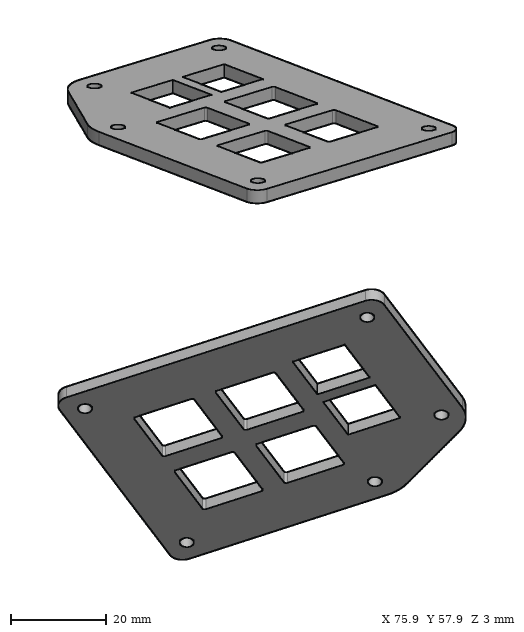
import cadquery as cq
import math

length = 75.94
width = 57.92
thickness = 3.0
corner_radius = 3.0

slope_angle = math.radians(30.4)
slope_run = 23.67
slope_rise = slope_run * math.tan(slope_angle)
slope_side_radius = 7.7
slope_bottom_radius = 10.0

hole_diameter = 2.98
hole_span_x = 66.0
hole_span_y = 48.0
side_hole_drop = 35.0
bottom_hole_shift = 22.0

key_size = 14.0
key_pitch = 19.05
key_corner_radius = 0.5
key_grid_center = (8.7, 0.33)

small_length = 12.2
small_width = 11.7
small_pitch = 14.45
small_column_center = (-18.75, 5.1)


def make_plate():
    left = -length / 2
    right = length / 2
    bottom = -width / 2
    top = width / 2
    corners = [
        ((left, bottom + slope_rise), slope_side_radius),
        ((left + slope_run, bottom), slope_bottom_radius),
        ((right, bottom), corner_radius),
        ((right, top), corner_radius),
        ((left, top), corner_radius),
    ]
    outline = [point for point, radius in corners]
    plate = cq.Workplane("XY").polyline(outline).close().extrude(thickness)
    for (x, y), radius in corners:
        corner_edge = cq.selectors.NearestToPointSelector((x, y, thickness / 2))
        plate = plate.edges(corner_edge).fillet(radius)
    return plate


def make_screw_holes():
    left = -hole_span_x / 2
    right = hole_span_x / 2
    bottom = -hole_span_y / 2
    top = hole_span_y / 2
    centers = [
        (left, top),
        (right, top),
        (right, bottom),
        (left, top - side_hole_drop),
        (left + bottom_hole_shift, bottom),
    ]
    return cq.Workplane("XY").pushPoints(centers).circle(hole_diameter / 2).extrude(thickness)


def make_key_openings():
    return (
        cq.Workplane("XY")
        .center(*key_grid_center)
        .rarray(key_pitch, key_pitch, 2, 2)
        .rect(key_size, key_size)
        .extrude(thickness)
        .edges("|Z")
        .fillet(key_corner_radius)
    )


def make_small_openings():
    return (
        cq.Workplane("XY")
        .center(*small_column_center)
        .pushPoints([(0, -small_pitch / 2), (0, small_pitch / 2)])
        .rect(small_length, small_width)
        .extrude(thickness)
    )


result = make_plate()
for cutter in (make_screw_holes(), make_key_openings(), make_small_openings()):
    result = result.cut(cutter)